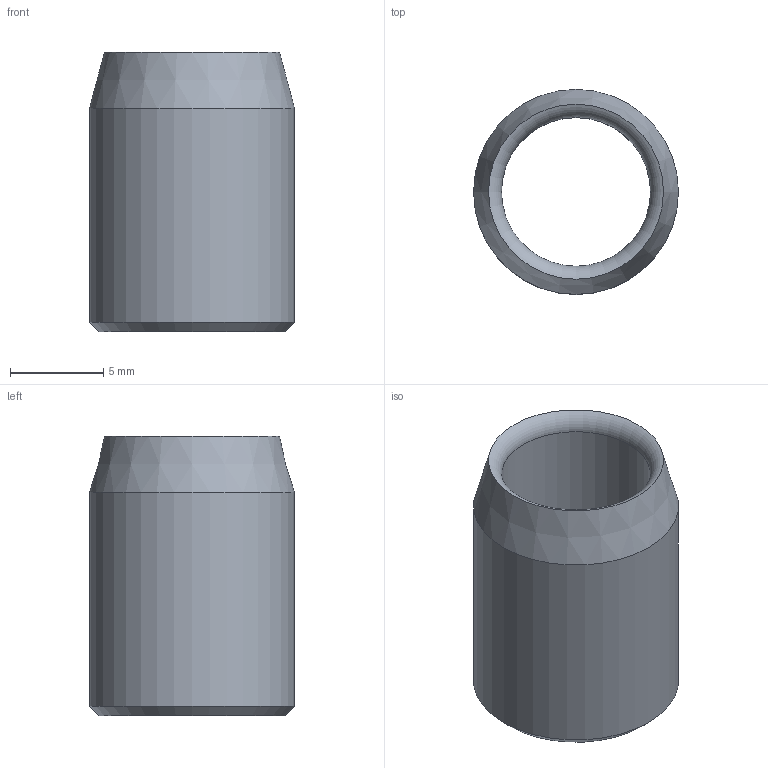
import cadquery as cq
import math

outer_diameter = 11.0
bore_diameter = 8.0
length = 15.0
taper_length = 3.0
taper_angle = 15.0
bottom_chamfer = 0.5
mouth_radius = 1.0

outer_radius = outer_diameter / 2
bore_radius = bore_diameter / 2
rim_radius = outer_radius - taper_length * math.tan(math.radians(taper_angle))

mouth_width = rim_radius - bore_radius
mouth_sweep = math.acos(1 - mouth_width / mouth_radius)
mouth_start = length - mouth_radius * math.sin(mouth_sweep)


def mouth_point(angle):
    """Point (radius, height) on the mouth arc, at an angle measured from the bore wall."""
    return (
        bore_radius + mouth_radius * (1 - math.cos(angle)),
        mouth_start + mouth_radius * math.sin(angle),
    )


def wall_profile():
    """Half section of the sleeve wall; local X is the radius, local Y the height."""
    return (
        cq.Workplane("XZ")
        .moveTo(bore_radius, 0)
        .lineTo(outer_radius - bottom_chamfer, 0)
        .lineTo(outer_radius, bottom_chamfer)
        .lineTo(outer_radius, length - taper_length)
        .lineTo(rim_radius, length)
        .threePointArc(mouth_point(mouth_sweep / 2), (bore_radius, mouth_start))
        .close()
    )


result = wall_profile().revolve(360, (0, 0, 0), (0, 1, 0))